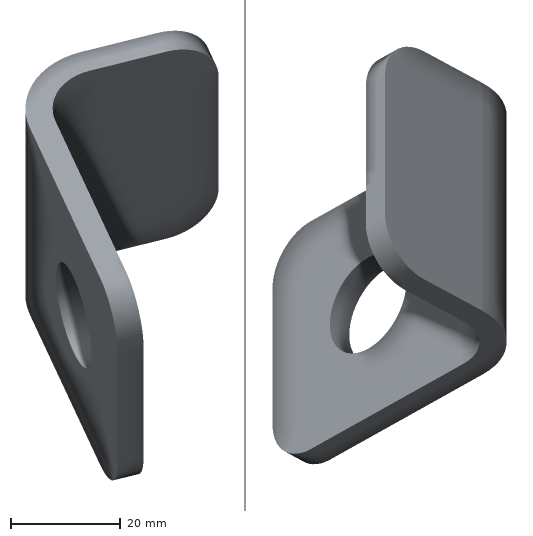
import cadquery as cq

length = 65.0
depth = 40.0
height = 50.0
thickness = 5.0

inner_bend_radius = 10.0
outer_bend_radius = inner_bend_radius + thickness
corner_radius = 10.0
hole_diameter = 20.0
hole_x = 40.0


def make_bent_sheet():
    """L-shaped sheet with a concentric rounded bend, extruded along Z."""
    sheet = (
        cq.Workplane("XY")
        .moveTo(outer_bend_radius, 0)
        .lineTo(length, 0)
        .lineTo(length, thickness)
        .lineTo(outer_bend_radius, thickness)
        .radiusArc((thickness, outer_bend_radius), inner_bend_radius)
        .lineTo(thickness, depth)
        .lineTo(0, depth)
        .lineTo(0, outer_bend_radius)
        .radiusArc((outer_bend_radius, 0), -outer_bend_radius)
        .close()
        .extrude(height)
    )
    return sheet


def round_flange_corners(sheet):
    """Round the free corners at the end of each flange."""
    long_flange_corners = sheet.faces(">X").edges("|Y")
    sheet = long_flange_corners.fillet(corner_radius)
    short_flange_corners = sheet.faces(">Y").edges("|X")
    return short_flange_corners.fillet(corner_radius)


def make_hole_cutter():
    """Cylinder through the long flange, centred on the sheet width."""
    return (
        cq.Workplane("XZ")
        .center(hole_x, height / 2)
        .circle(hole_diameter / 2)
        .extrude(-thickness)
    )


bracket = round_flange_corners(make_bent_sheet())
result = bracket.cut(make_hole_cutter())